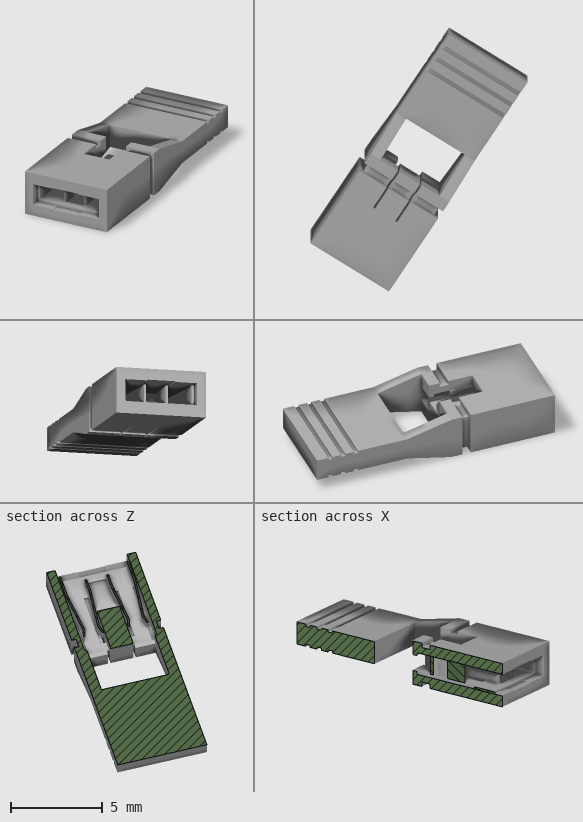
import cadquery as cq

LENGTH = 13.97
WIDTH = 5.09
HEIGHT = 2.54

HANDLE_HEIGHT = 1.31
ARM_WIDTH = 0.63
WINDOW_START = 6.09
WINDOW_END = 8.66
WINDOW_WIDTH = WIDTH - 2 * ARM_WIDTH
GRIP_GROOVES = 3
GRIP_GROOVE_WIDTH = 0.25
GRIP_GROOVE_DEPTH = 0.13
GRIP_GROOVE_PITCH = 0.75
GRIP_END_LAND = 0.65

NECK_START = 4.95
NECK_END = 5.45
NECK_DEPTH = 0.25

CAVITY_WIDTH = 4.08
CAVITY_HEIGHT = 1.23
CAVITY_END = 5.8
MOUTH_HEIGHT = 0.9

CHANNEL_WIDTH = 1.56
CHANNEL_HEIGHT = 1.31
SLOT_START = 3.55

LATCH_WIDTH = 1.3
LATCH_TOP = 0.24
LATCH_RAMP_LENGTH = 0.7

SHEET = 0.13
CONTACT_WIDTH = 4.0
CONTACT_START = 0.5
INSIDE_BEND_RADIUS = 0.07
CONTACT_BOTTOM = -CAVITY_HEIGHT / 2
CONTACT_TOP = CAVITY_HEIGHT / 2
BASE_TOP = CONTACT_BOTTOM + SHEET
SPRING_GAP = 0.05
SPRING_BOTTOM = BASE_TOP + SPRING_GAP

BASE_WINDOW_START = 0.98
INNER_SPRING_START = 1.08
SPRING_ROOT_END = 1.95
SPRING_PINCH = 4.4
SPRING_END = 4.89
BASE_WINDOW_END = 5.24

INNER_ROOT = 0.56
INNER_PINCH = 0.78
OUTER_ROOT = CONTACT_WIDTH / 2 - SHEET
OUTER_PINCH = 1.62
SPRING_FLARE = 0.13
BASE_WINDOW_WIDTH = 1.95


def block(width, y_start, y_end, z_bottom, z_top):
    """Box centred on X = 0 between the given Y and Z limits."""
    return cq.Workplane("XY", origin=(0, (y_start + y_end) / 2, z_bottom)).box(
        width, y_end - y_start, z_top - z_bottom, centered=(True, True, False)
    )


def centred_block(width, y_start, y_end, height):
    """Box centred on X = 0 and Z = 0."""
    return block(width, y_start, y_end, -height / 2, height / 2)


def make_housing_blank():
    """Full-height front, tapering over the window to the thin handle."""
    tall = HEIGHT / 2
    thin = HANDLE_HEIGHT / 2
    profile = [
        (0, -tall),
        (WINDOW_START, -tall),
        (WINDOW_END, -thin),
        (LENGTH, -thin),
        (LENGTH, thin),
        (WINDOW_END, thin),
        (WINDOW_START, tall),
        (0, tall),
    ]
    return cq.Workplane("YZ").polyline(profile).close().extrude(WIDTH / 2, both=True)


def cut_grip_grooves(body):
    """Grip grooves across the top and bottom of the handle."""
    core_height = HANDLE_HEIGHT - 2 * GRIP_GROOVE_DEPTH
    for index in range(GRIP_GROOVES):
        end = LENGTH - GRIP_END_LAND - index * GRIP_GROOVE_PITCH
        start = end - GRIP_GROOVE_WIDTH
        core = centred_block(WIDTH, start, end, core_height)
        body = body.cut(centred_block(WIDTH, start, end, HANDLE_HEIGHT).cut(core))
    return body


def cut_neck(body):
    """Rectangular groove around all four sides of the neck."""
    core = centred_block(WIDTH - 2 * NECK_DEPTH, NECK_START, NECK_END, HEIGHT - 2 * NECK_DEPTH)
    return body.cut(centred_block(WIDTH, NECK_START, NECK_END, HEIGHT).cut(core))


def cut_openings(body):
    """Handle window, stepped contact cavity, central channel and latch slot."""
    window = centred_block(WINDOW_WIDTH, WINDOW_START, WINDOW_END, HEIGHT)
    cavity = centred_block(CAVITY_WIDTH, 0, CAVITY_END, CAVITY_HEIGHT)
    mouth = centred_block(WINDOW_WIDTH, CAVITY_END, WINDOW_START, MOUTH_HEIGHT)
    channel = centred_block(CHANNEL_WIDTH, 0, SLOT_START, CHANNEL_HEIGHT)
    slot = centred_block(CHANNEL_WIDTH, SLOT_START, WINDOW_START, HEIGHT)
    return body.cut(window).cut(cavity).cut(mouth).cut(channel).cut(slot)


def make_latch():
    """Finger that rises from the bottom wall by a ramp and runs level to the rear."""
    profile = [
        (SLOT_START - LATCH_RAMP_LENGTH, -CHANNEL_HEIGHT / 2),
        (SLOT_START, LATCH_TOP),
        (WINDOW_START, LATCH_TOP),
        (WINDOW_START, -HEIGHT / 2),
        (SLOT_START - LATCH_RAMP_LENGTH, -HEIGHT / 2),
    ]
    return cq.Workplane("YZ").polyline(profile).close().extrude(LATCH_WIDTH / 2, both=True)


def make_housing():
    body = cut_openings(cut_grip_grooves(make_housing_blank()))
    return cut_neck(body.union(make_latch()))


def make_channel_sheet():
    """Base sheet whose front part has both edges bent up into side walls."""
    inside_width = 2 * OUTER_ROOT
    walled = block(CONTACT_WIDTH, CONTACT_START, SPRING_ROOT_END, CONTACT_BOTTOM, CONTACT_TOP)
    walled = walled.edges("|Y and <Z").fillet(INSIDE_BEND_RADIUS + SHEET)
    trough = block(inside_width, CONTACT_START, SPRING_ROOT_END, BASE_TOP, CONTACT_TOP)
    trough = trough.edges("|Y and <Z").fillet(INSIDE_BEND_RADIUS)
    rear_width = inside_width - 2 * INSIDE_BEND_RADIUS
    rear = block(rear_width, SPRING_ROOT_END, CAVITY_END, CONTACT_BOTTOM, BASE_TOP)
    return walled.cut(trough).union(rear)


def cut_base_window(sheet):
    """Window between and under the springs, with a notch behind it for the latch."""
    front = block(2 * INNER_ROOT, BASE_WINDOW_START, SPRING_ROOT_END, CONTACT_BOTTOM, BASE_TOP)
    middle = block(BASE_WINDOW_WIDTH, SPRING_ROOT_END, BASE_WINDOW_END, CONTACT_BOTTOM, BASE_TOP)
    notch = block(LATCH_WIDTH, BASE_WINDOW_END, CAVITY_END, CONTACT_BOTTOM, BASE_TOP)
    return sheet.cut(front).cut(middle).cut(notch)


def make_spring(start, root, pinch, flare):
    """Upright strip: straight root, lean to the pinch line, end flared by a signed X offset."""
    face = [
        (root, start),
        (root, SPRING_ROOT_END),
        (pinch, SPRING_PINCH),
        (pinch + flare, SPRING_END),
    ]
    back = [(x + SHEET, y) for x, y in reversed(face)]
    outline = cq.Workplane("XY", origin=(0, 0, SPRING_BOTTOM)).polyline(face + back).close()
    return outline.extrude(CONTACT_TOP - SPRING_BOTTOM)


def make_inner_spring():
    """Inner spring with the foot that joins its root to the base."""
    spring = make_spring(INNER_SPRING_START, INNER_ROOT, INNER_PINCH, -SPRING_FLARE)
    foot = cq.Workplane("XY", origin=(INNER_ROOT, INNER_SPRING_START, CONTACT_BOTTOM)).box(
        SHEET, SPRING_ROOT_END - INNER_SPRING_START, SPRING_BOTTOM - CONTACT_BOTTOM, centered=False
    )
    return spring.union(foot)


def make_outer_spring():
    """Outer spring, whose root is the upper part of a side wall."""
    return make_spring(CONTACT_START, OUTER_ROOT, OUTER_PINCH, SPRING_FLARE)


def make_contact():
    body = cut_base_window(make_channel_sheet())
    for spring in (make_inner_spring(), make_outer_spring()):
        body = body.union(spring).union(spring.mirror("YZ"))
    return body


housing = make_housing()
contact = make_contact()
result = cq.Compound.makeCompound([housing.solids().val(), contact.solids().val()])